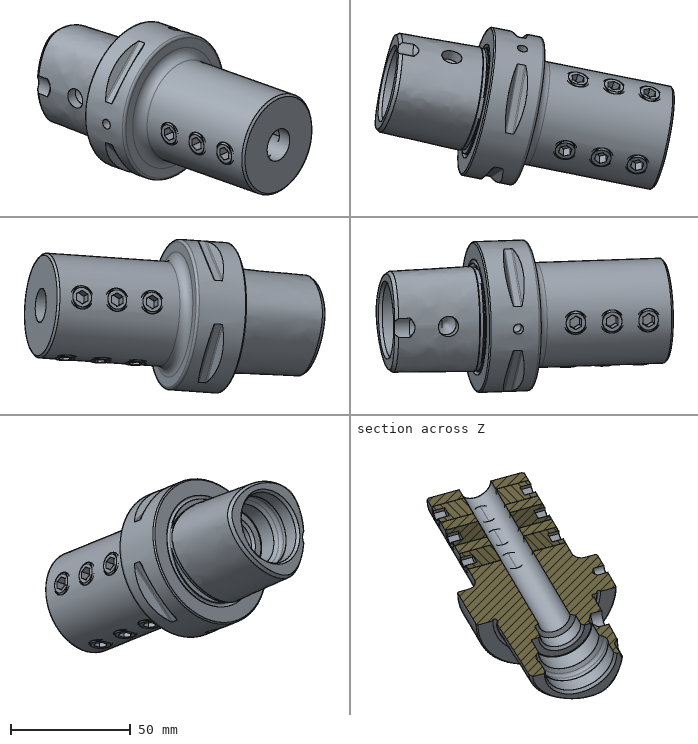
import cadquery as cq
import math

TOTAL_LENGTH = 118.0
TAPER_END = 35.8
FLANGE_FRONT = 37.9
FLANGE_BACK = 60.0
FLANGE_RADIUS = 31.5
FLANGE_CHAMFER = 0.6
FLANGE_ROUND = 1.1
BODY_RADIUS = 22.0
BODY_CHAMFER = 1.0
BODY_FILLET = 4.2

POLYGON_RADIUS = 22.0
POLYGON_LOBE = 1.4
POLYGON_POINTS = 24
TAPER = 1 / 40
NOSE_CHAMFER_LENGTH = 1.5
NOSE_CHAMFER_HEIGHT = 1.1
RELIEF_STEP = 0.4

NECK_RADIUS = 22.5
NECK_LENGTH = 0.5
FACE_GROOVE_RADIUS = 0.8

ENTRY_RADIUS = 15.3
ENTRY_CHAMFER_LENGTH = 1.4
ENTRY_CHAMFER_HEIGHT = 1.0
ENTRY_END = 7.7
RING_GROOVE_RADIUS = 15.8
RING_GROOVE_END = 9.9
RING_CONE_START = 11.9
RING_CONE_RADIUS = 15.0
CHAMBER_RADIUS = 13.6
CHAMBER_END = 21.2
CHAMBER_CORNER = 0.2
BOLT_BORE_RADIUS = 9.1
BOLT_BORE_CHAMFER = 1.2
BOLT_BORE_DEPTH = 7.1
THROUGH_RADIUS = 7.1

DRILL_TIP_ANGLE = 118.0
SHANK_HOLE_X = 22.5
SHANK_HOLE_RADIUS = 4.2
SHANK_HOLE_FLOOR = 15.3
FLANGE_HOLE_RADIUS = 2.1
FLANGE_HOLE_DEPTH = 4.7
KEYWAY_RADIUS = 5.7
KEYWAY_AXIS = 23.5
KEYWAY_LENGTH = 6.4

GRIPPER_X = 50.0
GRIPPER_FLOOR = 27.8
GRIPPER_FLOOR_WIDTH = 3.5
GRIPPER_FLANK_ANGLE = 30.0
GRIPPER_FILLET = 0.6
GRIPPER_ANGLES = (45, 135, 225, 315)

SCREW_RADIUS = 5.0
SCREW_CHAMFER_WIDTH = 0.8
SCREW_CHAMFER_DEPTH = 0.6
SCREW_FIRST_X = 76.3
SCREW_PITCH = 15.5
SCREWS_PER_ROW = 3
SCREW_ROW_ANGLES = (0, 90, 180)
HEX_ACROSS_FLATS = 5.0
HEX_DEPTH = 5.0


def polygon_section(x, mean_radius):
    """Three-lobed section of constant width at x, one lobe pointing to +Y."""
    points = []
    for i in range(POLYGON_POINTS):
        angle = 2 * math.pi * i / POLYGON_POINTS
        support = mean_radius + POLYGON_LOBE * math.cos(3 * angle)
        slope = -3 * POLYGON_LOBE * math.sin(3 * angle)
        y = support * math.cos(angle) - slope * math.sin(angle)
        z = support * math.sin(angle) + slope * math.cos(angle)
        points.append(cq.Vector(x, y, z))
    return cq.Wire.assembleEdges([cq.Edge.makeSpline(points, periodic=True)])


def polygon_stretch(x_start, radius_start, x_end, radius_end):
    sections = [polygon_section(x_start, radius_start), polygon_section(x_end, radius_end)]
    return cq.Workplane(cq.Solid.makeLoft(sections, True))


def tapered_radius(x):
    return POLYGON_RADIUS - TAPER * (TAPER_END - x)


def make_shank():
    """Tapered polygon with a chamfered nose and a smaller turned relief behind it."""
    chamfer_radius = tapered_radius(NOSE_CHAMFER_LENGTH)
    relief_radius = POLYGON_RADIUS - RELIEF_STEP
    relief_start = TAPER_END + RELIEF_STEP
    nose = polygon_stretch(0, chamfer_radius - NOSE_CHAMFER_HEIGHT, NOSE_CHAMFER_LENGTH, chamfer_radius)
    taper = polygon_stretch(NOSE_CHAMFER_LENGTH, chamfer_radius, TAPER_END, POLYGON_RADIUS)
    step = polygon_stretch(TAPER_END, POLYGON_RADIUS, relief_start, relief_radius)
    relief = polygon_stretch(relief_start, relief_radius, FLANGE_FRONT, relief_radius)
    turned = cq.Workplane("YZ").workplane(offset=relief_start).circle(NECK_RADIUS).extrude(
        FLANGE_FRONT - relief_start)
    return nose.union(taper).union(step).union(relief.intersect(turned))


def make_turned_body():
    """Neck, flange and clamping body, with a half-round groove in the flange face."""
    groove_outer = NECK_RADIUS + 2 * FACE_GROOVE_RADIUS
    profile = (
        cq.Workplane("XY")
        .moveTo(FLANGE_FRONT - NECK_LENGTH, 0)
        .lineTo(FLANGE_FRONT - NECK_LENGTH, NECK_RADIUS)
        .lineTo(FLANGE_FRONT, NECK_RADIUS)
        .threePointArc(
            (FLANGE_FRONT + FACE_GROOVE_RADIUS, NECK_RADIUS + FACE_GROOVE_RADIUS),
            (FLANGE_FRONT, groove_outer),
        )
        .lineTo(FLANGE_FRONT, FLANGE_RADIUS - FLANGE_CHAMFER)
        .lineTo(FLANGE_FRONT + FLANGE_CHAMFER, FLANGE_RADIUS)
        .lineTo(FLANGE_BACK - FLANGE_ROUND, FLANGE_RADIUS)
        .radiusArc((FLANGE_BACK, FLANGE_RADIUS - FLANGE_ROUND), FLANGE_ROUND)
        .lineTo(FLANGE_BACK, BODY_RADIUS + BODY_FILLET)
        .radiusArc((FLANGE_BACK + BODY_FILLET, BODY_RADIUS), -BODY_FILLET)
        .lineTo(TOTAL_LENGTH - BODY_CHAMFER, BODY_RADIUS)
        .lineTo(TOTAL_LENGTH, BODY_RADIUS - BODY_CHAMFER)
        .lineTo(TOTAL_LENGTH, 0)
        .close()
    )
    return profile.revolve(360, (0, 0, 0), (1, 0, 0))


def make_bore():
    """Stepped central bore: entry, ring groove, chamber, bolt bore and through hole."""
    bolt_bore_end = CHAMBER_END + BOLT_BORE_DEPTH
    tip_length = (BOLT_BORE_RADIUS - THROUGH_RADIUS) / math.tan(math.radians(DRILL_TIP_ANGLE / 2))
    groove_rise = RING_GROOVE_RADIUS - ENTRY_RADIUS
    profile = (
        cq.Workplane("XY")
        .lineTo(0, ENTRY_RADIUS + ENTRY_CHAMFER_HEIGHT)
        .lineTo(ENTRY_CHAMFER_LENGTH, ENTRY_RADIUS)
        .lineTo(ENTRY_END, ENTRY_RADIUS)
        .lineTo(ENTRY_END + groove_rise, RING_GROOVE_RADIUS)
        .lineTo(RING_GROOVE_END, RING_GROOVE_RADIUS)
        .tangentArcPoint((RING_CONE_START, RING_CONE_RADIUS), relative=False)
        .lineTo(RING_CONE_START + RING_CONE_RADIUS - CHAMBER_RADIUS, CHAMBER_RADIUS)
        .lineTo(CHAMBER_END - CHAMBER_CORNER, CHAMBER_RADIUS)
        .lineTo(CHAMBER_END, CHAMBER_RADIUS - CHAMBER_CORNER)
        .lineTo(CHAMBER_END, BOLT_BORE_RADIUS + BOLT_BORE_CHAMFER)
        .lineTo(CHAMBER_END + BOLT_BORE_CHAMFER, BOLT_BORE_RADIUS)
        .lineTo(bolt_bore_end, BOLT_BORE_RADIUS)
        .lineTo(bolt_bore_end + tip_length, THROUGH_RADIUS)
        .lineTo(TOTAL_LENGTH, THROUGH_RADIUS)
        .lineTo(TOTAL_LENGTH, 0)
        .close()
    )
    return profile.revolve(360, (0, 0, 0), (1, 0, 0))


def blind_drill(radius, depth, tip):
    """Drill along +Z from the origin: a cylinder with a conical tip beyond its depth."""
    profile = (
        cq.Workplane("XZ")
        .lineTo(radius, 0)
        .lineTo(radius, depth)
        .lineTo(0, depth + tip)
        .close()
    )
    return profile.revolve(360, (0, 0, 0), (0, 1, 0))


def drill_tip(radius):
    return radius / math.tan(math.radians(DRILL_TIP_ANGLE / 2))


def radial_drill(x, radius, start, depth):
    """Blind hole drilled toward the axis from the -Y side."""
    drill = blind_drill(radius, depth, drill_tip(radius))
    return drill.rotate((0, 0, 0), (1, 0, 0), -90).translate((x, -start, 0))


def make_keyway():
    """Round-bottomed slot along X that opens at the nose on the -Y side."""
    drill = blind_drill(KEYWAY_RADIUS, KEYWAY_LENGTH, KEYWAY_RADIUS)
    return drill.rotate((0, 0, 0), (0, 1, 0), 90).translate((0, -KEYWAY_AXIS, 0))


def make_gripper_groove():
    """Straight trapezoidal groove across the +Y side of the flange."""
    height = FLANGE_RADIUS - GRIPPER_FLOOR + FLANGE_CHAMFER
    half_floor = GRIPPER_FLOOR_WIDTH / 2
    half_top = half_floor + height * math.tan(math.radians(GRIPPER_FLANK_ANGLE))
    groove = (
        cq.Workplane("XY")
        .moveTo(GRIPPER_X - half_floor, GRIPPER_FLOOR)
        .lineTo(GRIPPER_X + half_floor, GRIPPER_FLOOR)
        .lineTo(GRIPPER_X + half_top, GRIPPER_FLOOR + height)
        .lineTo(GRIPPER_X - half_top, GRIPPER_FLOOR + height)
        .close()
        .extrude(FLANGE_RADIUS, both=True)
    )
    return groove.faces("<Y").edges("|Z").fillet(GRIPPER_FILLET)


def screw_envelope():
    """Outside of one screw on the -Y side at X = 0, from the body surface to the bore."""
    profile = (
        cq.Workplane("XY")
        .moveTo(0, -THROUGH_RADIUS)
        .lineTo(SCREW_RADIUS, -THROUGH_RADIUS)
        .lineTo(SCREW_RADIUS, SCREW_CHAMFER_DEPTH - BODY_RADIUS)
        .lineTo(SCREW_RADIUS - SCREW_CHAMFER_WIDTH, -BODY_RADIUS)
        .lineTo(0, -BODY_RADIUS)
        .close()
    )
    return profile.revolve(360, (0, 0, 0), (0, 1, 0))


def clamping_screw():
    hex_diameter = HEX_ACROSS_FLATS / math.cos(math.radians(30))
    socket = (
        cq.Workplane("XZ", origin=(0, HEX_DEPTH - BODY_RADIUS, 0))
        .transformed(rotate=(0, 0, 90))
        .polygon(6, hex_diameter)
        .extrude(HEX_DEPTH)
    )
    return screw_envelope().cut(socket)


def place_in_rows(shape):
    """One copy of the shape at every screw position."""
    copies = []
    for angle in SCREW_ROW_ANGLES:
        for i in range(SCREWS_PER_ROW):
            x = SCREW_FIRST_X + i * SCREW_PITCH
            copies.append(shape.translate((x, 0, 0)).rotate((0, 0, 0), (1, 0, 0), angle))
    return copies


def make_housing():
    housing = make_shank().union(make_turned_body()).cut(make_bore())
    housing = housing.cut(make_keyway())
    shank_hole_depth = BODY_RADIUS - SHANK_HOLE_FLOOR
    housing = housing.cut(radial_drill(SHANK_HOLE_X, SHANK_HOLE_RADIUS, BODY_RADIUS, shank_hole_depth))
    housing = housing.cut(radial_drill(GRIPPER_X, FLANGE_HOLE_RADIUS, FLANGE_RADIUS, FLANGE_HOLE_DEPTH))
    groove = make_gripper_groove()
    for angle in GRIPPER_ANGLES:
        housing = housing.cut(groove.rotate((0, 0, 0), (1, 0, 0), angle))
    for envelope in place_in_rows(screw_envelope()):
        housing = housing.cut(envelope)
    return housing


housing = make_housing()
screws = place_in_rows(clamping_screw())

result = cq.Compound.makeCompound([housing.solids().val(), *[screw.solids().val() for screw in screws]])